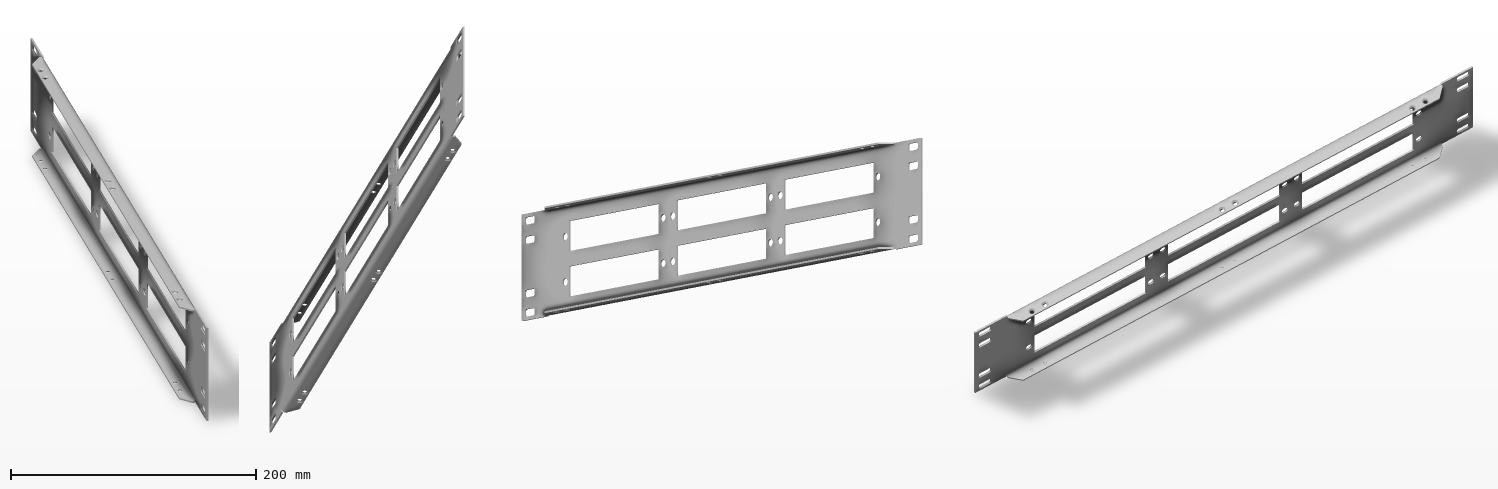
import cadquery as cq

panel_length = 482.5
panel_height = 88.5
sheet = 1.5
overall_depth = 12.5

flange_length = 421.0
flange_chamfer = 8.5
inner_bend_radius = 1.5
outer_bend_radius = inner_bend_radius + sheet

relief_width = 0.2
relief_depth = 4.5

window_columns = 3
window_rows = 2
window_pitch_x = 130.0
window_pitch_z = 37.5
window_length = 108.0
window_height = 25.0
screw_spacing = 118.0
screw_diameter = 6.5

slot_spacing_x = 463.5
slot_heights = (22.0, 38.0)
slot_length = 11.5
slot_height = 6.5
slot_corner_radius = 1.5

flange_pair_pitch = 184.5
flange_pair_spacing = 12.5
flange_hole_diameter = 3.5
countersink_diameter = 6.0
flange_hole_setback = 8.5


def make_channel():
    """C-shaped sheet section swept over the length of the flanges."""
    channel = (
        cq.Workplane("XY")
        .box(flange_length, overall_depth, panel_height)
        .translate((0, -overall_depth / 2, 0))
        .edges("|X and >Y")
        .fillet(outer_bend_radius)
    )
    inner_height = panel_height - 2 * sheet
    hollow = (
        cq.Workplane("XY")
        .box(flange_length, overall_depth, inner_height)
        .translate((0, -overall_depth / 2 - sheet, 0))
        .edges("|X and >Y")
        .fillet(inner_bend_radius)
    )
    return channel.cut(hollow).edges("|Z and <Y").chamfer(flange_chamfer)


def make_end_plate(side):
    """Flat end of the panel, beyond the flanges."""
    end_length = (panel_length - flange_length) / 2
    center_x = side * (flange_length + end_length) / 2
    return cq.Workplane("XY").box(end_length, sheet, panel_height).translate((center_x, -sheet / 2, 0))


def panel_plane():
    """Sketch plane on the back face, with local X and Y along X and Z; cuts run toward -Y."""
    return cq.Workplane("XZ")


def make_reliefs():
    center_x = (flange_length + relief_width) / 2
    center_z = (panel_height - relief_depth) / 2
    centers = [(i * center_x, k * center_z) for i in (-1, 1) for k in (-1, 1)]
    return panel_plane().pushPoints(centers).rect(relief_width, relief_depth).extrude(sheet)


def make_windows():
    grid = panel_plane().rarray(window_pitch_x, window_pitch_z, window_columns, window_rows)
    return grid.rect(window_length, window_height).extrude(sheet)


def make_screw_holes():
    holes = panel_plane()
    for side in (-1, 1):
        grid = panel_plane().center(side * screw_spacing / 2, 0)
        grid = grid.rarray(window_pitch_x, window_pitch_z, window_columns, window_rows)
        holes = holes.add(grid.circle(screw_diameter / 2).extrude(sheet))
    return holes.combine()


def make_rack_slots():
    centers = [
        (i * slot_spacing_x / 2, k * height)
        for i in (-1, 1)
        for k in (-1, 1)
        for height in slot_heights
    ]
    slots = panel_plane().pushPoints(centers).rect(slot_length, slot_height).extrude(sheet)
    return slots.edges("|Y").fillet(slot_corner_radius)


def make_flange_holes():
    """Countersunk holes, widening to the outer faces of both flanges."""
    hole_radius = flange_hole_diameter / 2
    sink_radius = countersink_diameter / 2
    sink_depth = sink_radius - hole_radius
    top = panel_height / 2
    cutters = cq.Workplane("XY")
    for column in (-1, 0, 1):
        for i in (-1, 1):
            x = column * flange_pair_pitch + i * flange_pair_spacing / 2
            half_profile = (
                cq.Workplane("XZ")
                .polyline([(0, -top), (sink_radius, -top), (hole_radius, sink_depth - top)])
                .lineTo(hole_radius, top - sink_depth)
                .lineTo(sink_radius, top)
                .lineTo(0, top)
                .close()
            )
            spindle = half_profile.revolve(360, (0, 0), (0, 1))
            cutters = cutters.add(spindle.translate((x, -flange_hole_setback, 0)))
    return cutters.combine()


result = make_channel().union(make_end_plate(-1)).union(make_end_plate(1))
for cutter in (
    make_reliefs(),
    make_windows(),
    make_screw_holes(),
    make_rack_slots(),
    make_flange_holes(),
):
    result = result.cut(cutter)